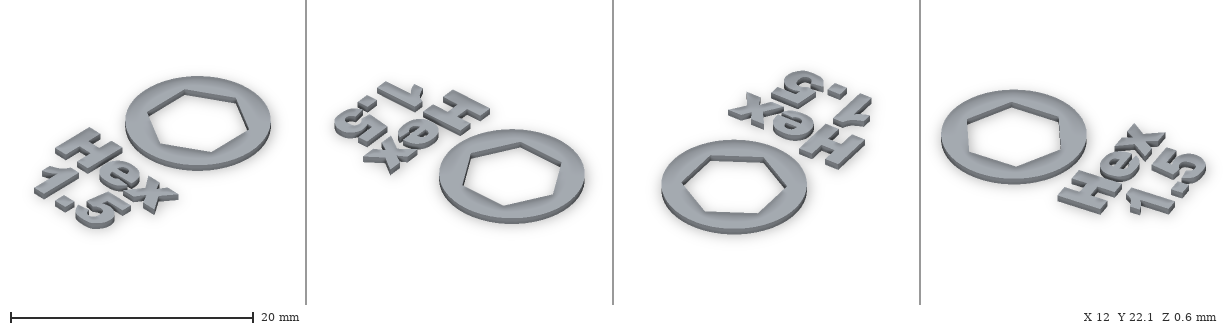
import cadquery as cq
import math

thickness = 0.6

washer_diameter = 12.01
hex_across_flats = 7.57

overall_length = 22.08
round_overshoot = 0.1
line_pitch = 5.0
lower_baseline = washer_diameter / 2 - overall_length + round_overshoot
upper_baseline = lower_baseline + line_pitch

h_left = -5.67
e_left = -1.21
x_left = 2.35
one_left = -4.25
dot_left = -0.62
five_left = 1.1

cap_height = 4.0
h_width = 3.86
h_stem = 1.28
h_bar_bottom = 1.6
h_bar_top = 2.58

x_height = 2.87
x_width = 3.67
x_middle = 1.52
e_width = 3.38
e_top = x_height + 0.07
e_slot_top = 1.13
e_eye_bottom = 1.68
e_inner_left = 1.13

one_height = 4.06
one_width = 2.35
one_stem_left = 1.2
dot_width = 1.21
dot_height = 1.05
five_width = 3.33
five_flag_right = 3.14
five_flag_bottom = 3.05
five_bowl_top = 2.67
five_counter_right = 2.2


def midpoint(a, b):
    return ((a[0] + b[0]) / 2, (a[1] + b[1]) / 2)


def curve_through(outline, controls, end):
    """Add a smooth chain of quadratic curves, joined midway between its control points."""
    joints = [midpoint(a, b) for a, b in zip(controls, controls[1:])]
    for control, joint in zip(controls, joints + [end]):
        outline = outline.bezier([control, joint], includeCurrent=True)
    return outline


def start_at(x, y):
    return cq.Workplane("XY").moveTo(x, y)


def place(body, left, baseline):
    """Move a character from its own lower left corner to its place in a line."""
    return body.translate((left, baseline, 0))


def make_washer():
    hex_across_corners = hex_across_flats / math.cos(math.pi / 6)
    disc = cq.Workplane("XY").circle(washer_diameter / 2).extrude(thickness)
    hexagon = (
        cq.Workplane("XY")
        .transformed(rotate=(0, 0, 30))
        .polygon(6, hex_across_corners)
        .extrude(thickness)
    )
    return disc.cut(hexagon)


def make_letter_h():
    block = cq.Workplane("XY").box(h_width, cap_height, thickness, centered=False)
    gap = h_width - 2 * h_stem
    lower_gap = cq.Workplane("XY").box(gap, h_bar_bottom, thickness, centered=False)
    upper_gap = cq.Workplane("XY").box(gap, cap_height - h_bar_top, thickness, centered=False)
    block = block.cut(lower_gap.translate((h_stem, 0, 0)))
    return block.cut(upper_gap.translate((h_stem, h_bar_top, 0)))


def make_letter_e():
    outline = start_at(e_width, e_slot_top).lineTo(e_inner_left, e_slot_top)
    outline = curve_through(outline, [(1.17, 0.86), (1.4, 0.6), (1.92, 0.55)], (2.19, 0.82))
    outline = outline.lineTo(3.31, 0.73)
    back = [
        (3.1, 0.29),
        (2.38, -round_overshoot),
        (1.08, -round_overshoot),
        (0.45, 0.25),
        (0, 0.88),
        (0, 2.08),
        (0.88, e_top),
        (2.27, e_top),
        (3.0, 2.52),
        (e_width, 1.88),
    ]
    outline = curve_through(outline, back, (e_width, 1.28))
    letter = outline.close().extrude(thickness)

    eye = start_at(e_inner_left, e_eye_bottom).lineTo(2.23, e_eye_bottom)
    arch = [(2.19, 2.0), (1.97, 2.27), (1.41, 2.27), (1.17, 2.0)]
    eye = curve_through(eye, arch, (e_inner_left, e_eye_bottom))
    return letter.cut(eye.close().extrude(thickness))


def make_letter_x():
    corners = [
        (0, 0),
        (1.21, 0),
        (1.8, 0.93),
        (2.32, 0),
        (x_width, 0),
        (2.6, x_middle),
        (3.6, x_height),
        (2.32, x_height),
        (1.8, 2.08),
        (1.35, x_height),
        (0.05, x_height),
        (1.05, x_middle),
    ]
    return cq.Workplane("XY").polyline(corners).close().extrude(thickness)


def make_digit_one():
    outline = (
        start_at(one_stem_left, 0)
        .lineTo(one_width, 0)
        .lineTo(one_width, one_height)
        .lineTo(1.37, one_height)
    )
    outline = curve_through(outline, [(1.17, 3.6), (0.7, 3.22)], (0, 2.98))
    outline = outline.lineTo(0, 2.05)
    outline = curve_through(outline, [(0.8, 2.25)], (one_stem_left, 2.7))
    return outline.close().extrude(thickness)


def make_dot():
    return cq.Workplane("XY").box(dot_width, dot_height, thickness, centered=False)


def make_digit_five():
    outline = (
        start_at(0.13, 1.8)
        .lineTo(0.49, cap_height)
        .lineTo(five_flag_right, cap_height)
        .lineTo(five_flag_right, five_flag_bottom)
        .lineTo(1.35, five_flag_bottom)
        .lineTo(1.25, 2.5)
    )
    bowl = [
        (1.63, five_bowl_top),
        (2.5, five_bowl_top),
        (five_width, 1.99),
        (five_width, 0.93),
        (2.91, 0.33),
        (2.43, -round_overshoot),
        (0.95, -round_overshoot),
        (0.3, 0.29),
    ]
    outline = curve_through(outline, bowl, (0, 0.97))
    outline = outline.lineTo(1.13, 1.13)
    counter = [
        (1.17, 0.88),
        (1.44, 0.6),
        (1.95, 0.6),
        (five_counter_right, 0.9),
        (five_counter_right, 1.68),
        (1.95, 1.97),
        (1.35, 1.97),
    ]
    outline = curve_through(outline, counter, (1.02, 1.68))
    return outline.close().extrude(thickness)


washer = make_washer()

letter_h = place(make_letter_h(), h_left, upper_baseline)
letter_e = place(make_letter_e(), e_left, upper_baseline)
letter_x = place(make_letter_x(), x_left, upper_baseline)

digit_one = place(make_digit_one(), one_left, lower_baseline)
dot = place(make_dot(), dot_left, lower_baseline)
digit_five = place(make_digit_five(), five_left, lower_baseline)

result = cq.Compound.makeCompound([
    washer.val(),
    letter_h.val(),
    letter_e.val(),
    letter_x.val(),
    digit_one.val(),
    dot.val(),
    digit_five.val(),
])